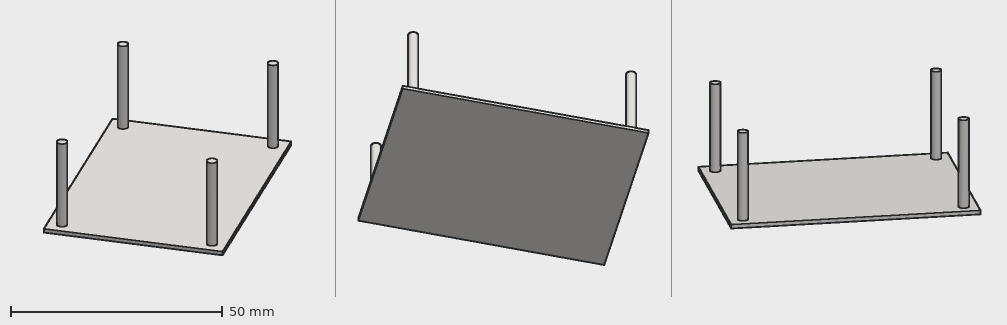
import cadquery as cq

plate_width = 44.0
plate_length = 60.0
plate_thickness = 1.0

overall_height = 23.0
pin_diameter = 2.5
pin_spacing_x = 36.9
pin_spacing_y = 53.15
pin_height = overall_height - plate_thickness

plate = cq.Workplane("XY").box(
    plate_width, plate_length, plate_thickness, centered=(True, True, False)
)

result = (
    plate.faces(">Z")
    .workplane()
    .rarray(pin_spacing_x, pin_spacing_y, 2, 2)
    .circle(pin_diameter / 2)
    .extrude(pin_height)
)